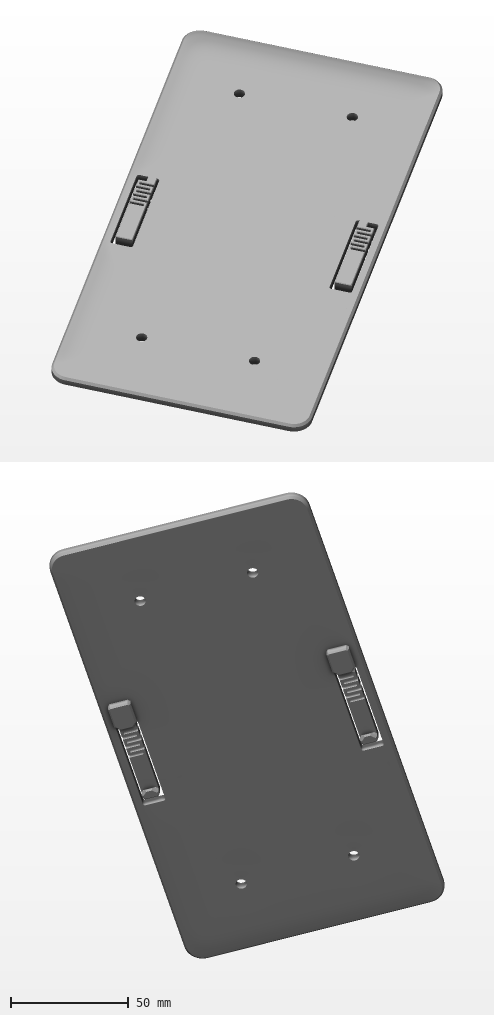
import cadquery as cq

plate_width = 115.0
plate_length = 215.0
plate_thickness = 4.6
plate_corner_radius = 8.0
plate_edge_chamfer = 1.0

hole_diameter = 4.8
hole_spacing_x = 50.0
hole_spacing_y = 150.0

rail_width = 34.6
clip_center_x = 48.5
window_width = 10.0
window_top_y = 17.0
window_end_y = -25.0
window_corner_radius = 1.0
latch_gap = 1.25
latch_width = window_width - 2 * latch_gap
latch_end_y = -20.7
latch_chamfer = 0.3

neck_width = 4.0
spring_top_y = 14.6
first_slot_y = 12.6
slot_width = 1.1
slot_pitch = 2.4
slot_count = 6
link_width = 1.1
slot_end_radius = 0.4

foot_depth = 3.0
lip_reach = 1.3
lip_start_depth = 1.0
lip_full_depth = lip_start_depth + lip_reach
foot_bottom_chamfer = 0.7
foot_corner_chamfer = 0.9
fixed_foot_back_y = 28.6


def box(x_min, x_max, y_min, y_max, z_min=0.0, z_max=plate_thickness):
    """Axis-aligned block between the given limits."""
    size = (x_max - x_min, y_max - y_min, z_max - z_min)
    return cq.Workplane("XY").box(*size, centered=False).translate((x_min, y_min, z_min))


def make_plate():
    """Rounded plate with bevelled rims and four through holes."""
    plate = cq.Workplane("XY").rect(plate_width, plate_length).extrude(plate_thickness)
    plate = plate.edges("|Z").fillet(plate_corner_radius)
    plate = plate.faces("<Z or >Z").chamfer(plate_edge_chamfer)
    holes = (
        cq.Workplane("XY")
        .rect(hole_spacing_x, hole_spacing_y, forConstruction=True)
        .vertices()
        .circle(hole_diameter / 2)
        .extrude(plate_thickness)
    )
    return plate.cut(holes)


def make_window():
    """Cutter for the rounded opening that surrounds one latch."""
    half_window = window_width / 2
    window = box(-half_window, half_window, window_end_y, window_top_y)
    return window.edges("|Z").fillet(window_corner_radius)


def make_latch():
    """Bar hanging from a neck at its +X side, with a zigzag spring cut into its root."""
    half_latch = latch_width / 2
    latch = box(-half_latch, half_latch, latch_end_y, spring_top_y)
    neck = box(half_latch - neck_width, half_latch, spring_top_y, window_top_y + latch_chamfer)
    latch = latch.union(neck)
    for index in range(slot_count):
        slot_y = first_slot_y - index * slot_pitch
        slot = box(link_width - half_latch, half_latch, slot_y - slot_width / 2, slot_y + slot_width / 2)
        slot = slot.edges("|Z and <X").fillet(slot_end_radius)
        opens_right = index % 2 == 0
        latch = latch.cut(slot if opens_right else slot.mirror("YZ"))
    return latch.faces(">Z").chamfer(latch_chamfer)


def make_foot(width, hook_y, back_y):
    """Foot below the plate with bevelled corners and a sloped lip reaching past the rail edge."""
    toward_rail = 1 if hook_y > back_y else -1
    lip_y = hook_y + toward_rail * lip_reach
    block = box(-width / 2, width / 2, min(lip_y, back_y), max(lip_y, back_y), -foot_depth, 0)
    lip_side, back_side = (">Y", "<Y") if toward_rail > 0 else ("<Y", ">Y")
    block = block.edges(f"|Z and {back_side}").chamfer(foot_corner_chamfer)
    block = block.edges(f"|Z and {lip_side}").chamfer(foot_corner_chamfer + lip_reach)
    block = block.faces("<Z").chamfer(foot_bottom_chamfer)
    rail_space = (
        cq.Workplane("YZ")
        .moveTo(hook_y, 0)
        .lineTo(hook_y, -lip_start_depth)
        .lineTo(lip_y, -lip_full_depth)
        .lineTo(lip_y, 0)
        .close()
        .extrude(width / 2, both=True)
    )
    return block.cut(rail_space)


def mirrored_pair(clip):
    """Place a clip feature near both long sides, mirrored about the YZ plane."""
    left = clip.translate((-clip_center_x, 0, 0))
    return left, left.mirror("YZ")


def add_clips(plate):
    """Cut both latches out of the plate and put the fixed and moving feet under it."""
    for window in mirrored_pair(make_window()):
        plate = plate.cut(window)
    for latch in mirrored_pair(make_latch()):
        plate = plate.union(latch)
    fixed_foot = make_foot(window_width, rail_width / 2, fixed_foot_back_y)
    moving_foot = make_foot(latch_width, -rail_width / 2, latch_end_y)
    for foot in mirrored_pair(fixed_foot) + mirrored_pair(moving_foot):
        plate = plate.union(foot)
    return plate


result = add_clips(make_plate())